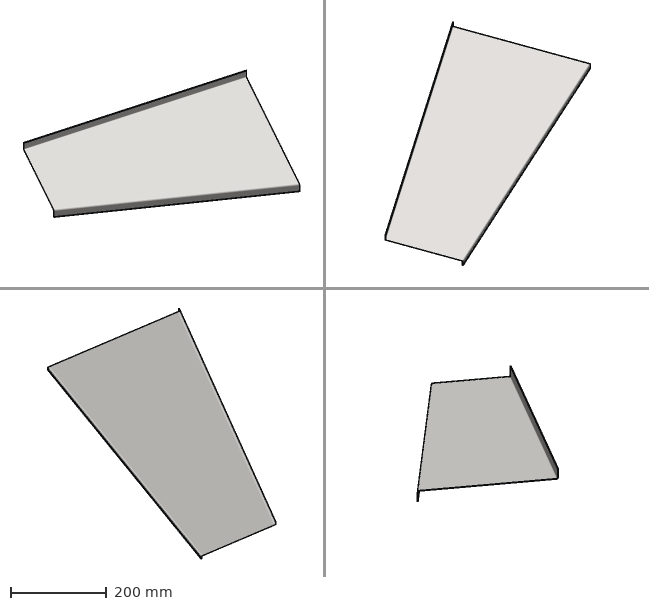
import cadquery as cq
import math

length = 500.5
back_width = 300.0
front_width = 170.0
thickness = 2.0
flange_height = 25.0
inner_radius = 2.0

outer_radius = inner_radius + thickness
taper = back_width - front_width
taper_angle = math.atan2(taper, length)


def folded_flange(run):
    """Upward flange with its bend, outer face on X = 0, extruded along +Y from Y = 0."""
    diagonal = math.sqrt(0.5)
    return (
        cq.Workplane("XZ")
        .moveTo(outer_radius, 0)
        .threePointArc(
            (outer_radius * (1 - diagonal), outer_radius * (1 - diagonal)),
            (0, outer_radius),
        )
        .lineTo(0, flange_height)
        .lineTo(thickness, flange_height)
        .lineTo(thickness, outer_radius)
        .threePointArc(
            (outer_radius - inner_radius * diagonal, outer_radius - inner_radius * diagonal),
            (outer_radius, thickness),
        )
        .close()
        .extrude(-run)
    )


slanted_bend_width = outer_radius / math.cos(taper_angle)
web = (
    cq.Workplane("XY")
    .polyline([
        (outer_radius, 0),
        (front_width - slanted_bend_width, 0),
        (back_width - slanted_bend_width, length),
        (outer_radius, length),
    ])
    .close()
    .extrude(thickness)
)

upper_flange = folded_flange(length)

overrun = flange_height
slanted_run = math.hypot(length, taper) + 2 * overrun
trim_box = cq.Workplane("XY").box(
    2 * back_width, length, 4 * flange_height
).translate((0, length / 2, 0))
lower_flange = (
    folded_flange(slanted_run)
    .rotate((0, 0, 0), (0, 1, 0), 180)
    .translate((0, -overrun, thickness))
    .rotate((0, 0, 0), (0, 0, 1), -math.degrees(taper_angle))
    .translate((front_width, 0, 0))
    .intersect(trim_box)
)

result = web.union(upper_flange).union(lower_flange)